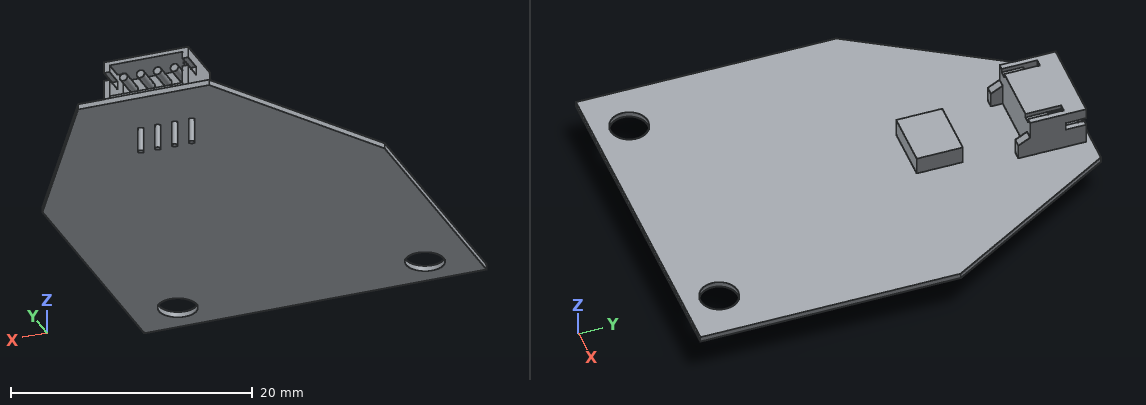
import cadquery as cq


board_width = 30.45
board_length = 38.6
board_thickness = 0.5
nose_width = 11.65
nose_length = 15.7
mount_hole_diameter = 3.32
mount_hole_spacing = 22.0
mount_hole_y = 3.15

chip_width = 5.0
chip_length = 4.05
chip_height = 1.65
chip_front_y = 23.6

housing_width = 7.5
housing_length = 4.95
housing_top = 3.8
standoff = 0.1
mouth_gap = 0.55
mouth_y = board_length - mouth_gap
front_y = mouth_y - housing_length
side_wall = 0.5
roof = 0.4
cavity_depth = 3.05

arm_width = 0.77
arm_length = 1.05
arm_root_drop = 1.65
arm_tip_drop = 2.25
arm_root_top = housing_top - arm_root_drop
arm_tip_top = housing_top - arm_tip_drop

notch_drop = 1.0
notch_top = housing_top - notch_drop
notch_height = 0.75
notch_length = 1.8
slot_width = 0.65
slot_length = housing_length - notch_length

pin_count = 4
pin_pitch = 1.5
contact_diameter = 0.7
contact_setback = 0.65
contact_z = notch_top - contact_diameter / 2
tail_diameter = 0.5
tail_inset = 0.4
tail_y = front_y + tail_inset
tail_length = 2.12
tail_end_z = -board_thickness - tail_length
pin_xs = [(i - (pin_count - 1) / 2) * pin_pitch for i in range(pin_count)]


def box(x_size, y_size, z_size, x_center, y_start, z_start):
    """Box centred in X at x_center, starting at y_start and z_start."""
    return (
        cq.Workplane("XY")
        .box(x_size, y_size, z_size, centered=(True, False, False))
        .translate((x_center, y_start, z_start))
    )


def make_board():
    shoulder_y = board_length - nose_length
    outline = [
        (-board_width / 2, 0),
        (board_width / 2, 0),
        (board_width / 2, shoulder_y),
        (nose_width / 2, board_length),
        (-nose_width / 2, board_length),
        (-board_width / 2, shoulder_y),
    ]
    mount_points = [(side * mount_hole_spacing / 2, mount_hole_y) for side in (-1, 1)]
    tail_points = [(x, tail_y) for x in pin_xs]
    blank = cq.Workplane("XY").polyline(outline).close().extrude(-board_thickness)
    mount_holes = (
        cq.Workplane("XY").pushPoints(mount_points).circle(mount_hole_diameter / 2).extrude(-board_thickness)
    )
    tail_holes = cq.Workplane("XY").pushPoints(tail_points).circle(tail_diameter / 2).extrude(-board_thickness)
    return blank.cut(mount_holes).cut(tail_holes)


def make_chip():
    return box(chip_width, chip_length, chip_height, 0, chip_front_y, 0)


def make_arm(side):
    """Arm with a sloping top, flush with one side of the housing."""
    profile = [
        (front_y, standoff),
        (front_y, arm_root_top),
        (front_y - arm_length, arm_tip_top),
        (front_y - arm_length, standoff),
    ]
    arm_center = side * (housing_width - arm_width) / 2
    return (
        cq.Workplane("YZ")
        .polyline(profile)
        .close()
        .extrude(arm_width / 2, both=True)
        .translate((arm_center, 0, 0))
    )


def make_pin(x):
    """Horizontal contact in the cavity, joined inside the housing to a vertical tail."""
    contact_length = mouth_y - contact_setback - tail_y
    contact = (
        cq.Workplane("XZ", origin=(x, tail_y, contact_z))
        .circle(contact_diameter / 2)
        .extrude(-contact_length)
    )
    tail = (
        cq.Workplane("XY", origin=(x, tail_y, tail_end_z))
        .circle(tail_diameter / 2)
        .extrude(contact_z - tail_end_z)
    )
    return contact.union(tail)


def make_connector():
    housing_height = housing_top - standoff
    connector = box(housing_width, housing_length, housing_height, 0, front_y, standoff)

    cavity_width = housing_width - 2 * side_wall
    cavity_height = housing_height - 2 * roof
    connector = connector.cut(
        box(cavity_width, cavity_depth, cavity_height, 0, mouth_y - cavity_depth, standoff + roof)
    )
    notch_start_y = mouth_y - notch_length
    connector = connector.cut(
        box(housing_width, notch_length, notch_height, 0, notch_start_y, notch_top - notch_height)
    )
    for side in (-1, 1):
        slot_center = side * (cavity_width - slot_width) / 2
        connector = connector.cut(box(slot_width, slot_length, roof, slot_center, front_y, housing_top - roof))
        connector = connector.union(make_arm(side))
    for x in pin_xs:
        connector = connector.union(make_pin(x))
    return connector


board = make_board()
chip = make_chip()
connector = make_connector()

result = cq.Compound.makeCompound([board.val(), chip.val(), connector.val()])